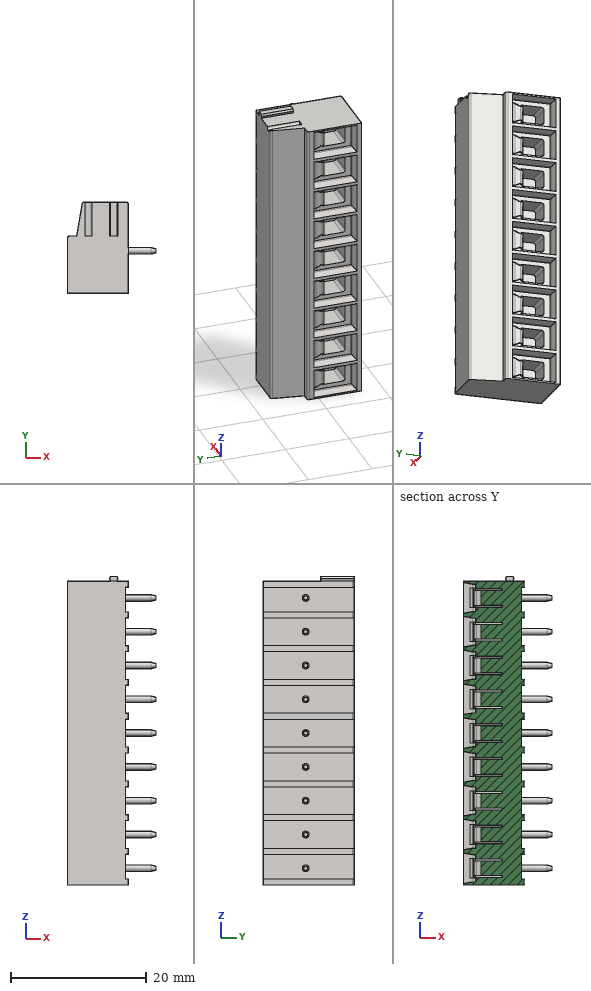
import cadquery as cq
import math

terminal_count = 9
pitch = 5.0
housing_length = terminal_count * pitch

housing_width = 9.0
housing_depth = 13.5
step_y = 8.5
slope_foot_x = 1.35
slope_top_x = 2.2
corner_radius = 0.3

relief_depth = 0.4
foot_width = 0.9
end_foot_width = 0.95
relief_face_x = housing_width - relief_depth

pin_diameter = 1.0
pin_y = 6.3
pin_tip_x = 13.1
pin_taper_length = 0.75
pin_tip_diameter = 0.6
pin_embed = 0.5

rib_center_x = 6.85
rib_width = 1.3
rib_flat_width = 0.95
rib_height = 0.68
rib_widest_height = 0.38
groove_center_x = 3.12
groove_radius = 0.52

funnel_y_min = 0.7
funnel_y_max = 7.45
funnel_height = 4.5
funnel_draft_depth = 1.4
funnel_inset_y = 0.3
funnel_inset_z = 0.25
floor_x = 1.8
floor_y_min = funnel_y_min + funnel_inset_y
floor_y_max = funnel_y_max - funnel_inset_y
floor_height = funnel_height - 2 * funnel_inset_z

hole_y_min = 1.95
hole_y_max = 5.5
hole_height = 2.7
hole_corner_radius = 0.45
hole_clearance = 0.5

leaf_thickness = 0.25
leaf_curve_radius = 0.55
leaf_wide_width = 2.9
leaf_neck_width = 2.2
leaf_neck_y = 5.85
leaf_bend_y = 5.7
leaf_tip_y = 4.15
leaf_slope_angle = 72.0
leaf_bend_radius = 0.5
leaf_x = floor_x - leaf_thickness
leaf_curve_y = floor_y_max - leaf_curve_radius
slope_start_x = leaf_x + leaf_bend_radius * (1 - math.cos(math.radians(leaf_slope_angle)))
slope_start_y = leaf_bend_y - leaf_bend_radius * math.sin(math.radians(leaf_slope_angle))
leaf_tip_x = slope_start_x + (slope_start_y - leaf_tip_y) * math.tan(math.radians(leaf_slope_angle))
hole_bottom_x = leaf_tip_x + hole_clearance


def terminal_z(index):
    return (index + 0.5) * pitch


def box(x_range, y_range, z_range):
    """Box spanning the given (min, max) ranges."""
    size = [r[1] - r[0] for r in (x_range, y_range, z_range)]
    corner = (x_range[0], y_range[0], z_range[0])
    return cq.Workplane("XY").box(*size, centered=False).translate(corner)


def make_housing():
    outline = [
        (0, 0),
        (housing_width, 0),
        (housing_width, housing_depth),
        (slope_top_x, housing_depth),
        (slope_foot_x, step_y),
        (0, step_y),
    ]
    body = cq.Workplane("XY").polyline(outline).close().extrude(housing_length)
    rounded_corners = [
        (housing_width, housing_depth),
        (slope_top_x, housing_depth),
        (0, step_y),
    ]
    for x, y in rounded_corners:
        body = body.edges(cq.selectors.NearestToPointSelector((x, y, housing_length / 2))).fillet(corner_radius)
    return body


def make_foot_relief(index):
    """Gap between two neighbouring standoff feet."""
    z_low = end_foot_width if index == 0 else index * pitch + foot_width / 2
    z_high = (index + 1) * pitch - foot_width / 2
    if index == terminal_count - 1:
        z_high = housing_length - end_foot_width
    return box((relief_face_x, housing_width), (0, housing_depth), (z_low, z_high))


def make_pin(z):
    taper_x = pin_tip_x - pin_taper_length
    start_x = relief_face_x - pin_embed
    half_profile = [
        (start_x, 0),
        (start_x, -pin_diameter / 2),
        (taper_x, -pin_diameter / 2),
        (pin_tip_x, -pin_tip_diameter / 2),
        (pin_tip_x, 0),
    ]
    pin = cq.Workplane("XY").polyline(half_profile).close().revolve(360, (0, 0, 0), (1, 0, 0))
    return pin.translate((0, pin_y, z))


def make_rib():
    """Hexagonal rib standing on the top end face, running from the step to the rear."""
    half_flat = rib_flat_width / 2
    half_width = rib_width / 2
    outline = [
        (-half_flat, 0),
        (half_flat, 0),
        (half_width, rib_widest_height),
        (half_flat, rib_height),
        (-half_flat, rib_height),
        (-half_width, rib_widest_height),
    ]
    rib = cq.Workplane("XZ").polyline(outline).close().extrude(step_y - housing_depth)
    return rib.translate((rib_center_x, step_y, housing_length))


def make_groove():
    """Half-round groove in the top end face, alongside the rib."""
    groove = cq.Workplane("XZ").circle(groove_radius).extrude(step_y - housing_depth)
    return groove.translate((groove_center_x, step_y, housing_length))


def make_funnel(z):
    y_center = (funnel_y_max + funnel_y_min) / 2
    drafted = (
        cq.Workplane("YZ", origin=(0, y_center, z))
        .rect(funnel_y_max - funnel_y_min, funnel_height)
        .workplane(offset=funnel_draft_depth)
        .rect(floor_y_max - floor_y_min, floor_height)
        .loft()
    )
    straight = box(
        (funnel_draft_depth, floor_x),
        (floor_y_min, floor_y_max),
        (z - floor_height / 2, z + floor_height / 2),
    )
    return drafted.union(straight)


def make_wire_hole(z):
    hole = box(
        (floor_x, hole_bottom_x),
        (hole_y_min, hole_y_max),
        (z - hole_height / 2, z + hole_height / 2),
    )
    return hole.edges("|X and <Y").fillet(hole_corner_radius)


def make_clamp_leaf(z):
    side = (
        cq.Workplane("XY", origin=(0, 0, z))
        .moveTo(hole_bottom_x, floor_y_max)
        .lineTo(leaf_x - leaf_curve_radius, floor_y_max)
        .radiusArc((leaf_x, leaf_curve_y), leaf_curve_radius)
        .lineTo(leaf_x, leaf_bend_y)
        .radiusArc((slope_start_x, slope_start_y), -leaf_bend_radius)
        .lineTo(leaf_tip_x, leaf_tip_y)
        .lineTo(hole_bottom_x, leaf_tip_y)
        .close()
        .extrude(leaf_wide_width / 2, both=True)
    )
    half_wide = leaf_wide_width / 2
    half_neck = leaf_neck_width / 2
    outline = [
        (leaf_tip_y, -half_neck),
        (leaf_neck_y, -half_neck),
        (leaf_curve_y, -half_wide),
        (floor_y_max, -half_wide),
        (floor_y_max, half_wide),
        (leaf_curve_y, half_wide),
        (leaf_neck_y, half_neck),
        (leaf_tip_y, half_neck),
    ]
    plan = cq.Workplane("YZ", origin=(0, 0, z)).polyline(outline).close().extrude(hole_bottom_x)
    return side.intersect(plan)


result = make_housing().union(make_rib()).cut(make_groove())
for terminal in range(terminal_count):
    center_z = terminal_z(terminal)
    result = result.cut(make_foot_relief(terminal))
    result = result.cut(make_funnel(center_z))
    result = result.cut(make_wire_hole(center_z))
    result = result.union(make_clamp_leaf(center_z))
    result = result.union(make_pin(center_z))